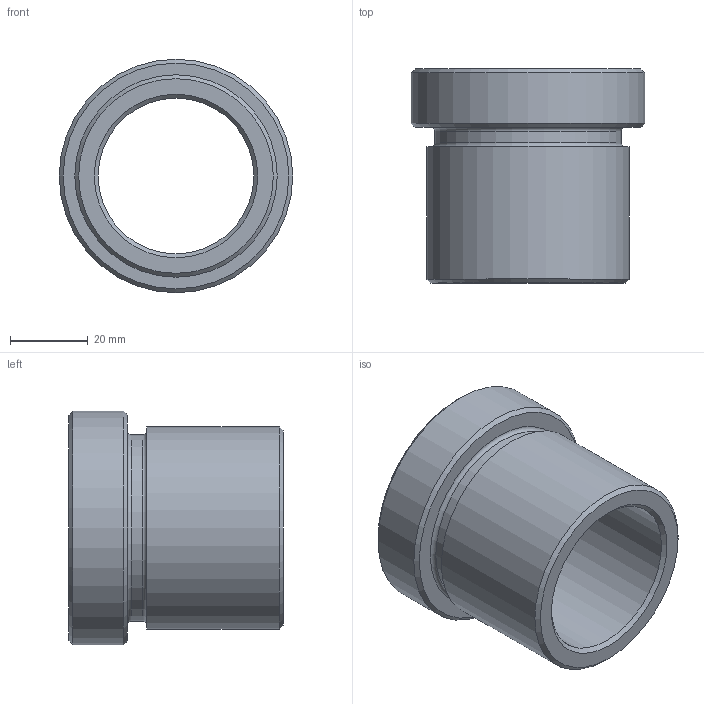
import cadquery as cq

total_length = 55.0
flange_length = 15.0
groove_width = 5.0

flange_radius = 60.0 / 2
sleeve_radius = 52.0 / 2
groove_radius = 48.0 / 2
bore_radius = 40.0 / 2

edge_chamfer = 1.0
groove_fillet = 1.0

flange_start = total_length - flange_length
groove_start = flange_start - groove_width


def turned_disc(radius, start_y, length):
    """Solid cylinder on the Y axis, running towards +Y from start_y."""
    axis_start = cq.Vector(0, start_y, 0)
    return cq.Workplane(cq.Solid.makeCylinder(radius, length, axis_start, cq.Vector(0, 1, 0)))


def make_sleeve():
    """Plain sleeve with a chamfer on its free end."""
    return turned_disc(sleeve_radius, 0, groove_start).faces("<Y").chamfer(edge_chamfer)


def make_flange():
    """Flange with both outer rims chamfered."""
    return turned_disc(flange_radius, flange_start, flange_length).faces("<Y or >Y").chamfer(edge_chamfer)


def make_groove_core():
    """Revolved relief groove floor, with a fillet up to each groove wall."""
    wall_radius = groove_radius + groove_fillet
    floor_start = groove_start + groove_fillet
    floor_end = flange_start - groove_fillet
    return (
        cq.Workplane("XY")
        .moveTo(0, groove_start)
        .lineTo(wall_radius, groove_start)
        .radiusArc((groove_radius, floor_start), groove_fillet)
        .lineTo(groove_radius, floor_end)
        .radiusArc((wall_radius, flange_start), groove_fillet)
        .lineTo(0, flange_start)
        .close()
        .revolve(360, (0, 0, 0), (0, 1, 0))
    )


def make_bore():
    """Through bore with a chamfered mouth at the free end of the sleeve."""
    mouth = cq.Solid.makeCone(
        bore_radius + edge_chamfer, bore_radius, edge_chamfer, cq.Vector(0, 0, 0), cq.Vector(0, 1, 0)
    )
    return turned_disc(bore_radius, 0, total_length).union(cq.Workplane(mouth))


result = make_sleeve().union(make_groove_core()).union(make_flange()).cut(make_bore())